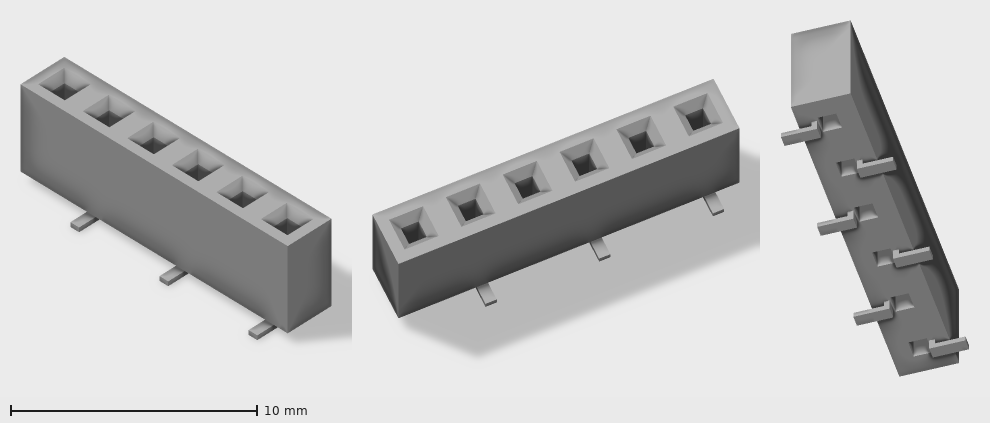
import cadquery as cq


pin_count = 6
housing_length = 15.24
housing_height = 4.5
socket_mouth = 1.52
socket_bore = 0.8
funnel_depth = 0.4
pin_width = 0.5
pin_thickness = 0.25
standoff = 0.5
foot_reach = 2.0
leg_inner_offset = 0.45

pitch = housing_length / pin_count
housing_width = pitch
housing_top = standoff + housing_height
socket_x = [(i - (pin_count - 1) / 2) * pitch for i in range(pin_count)]


def make_socket(x):
    """Cavity of one socket: a tapered square funnel above a straight through bore."""
    funnel = (
        cq.Workplane("XY", origin=(x, 0, housing_top))
        .rect(socket_mouth, socket_mouth)
        .workplane(offset=-funnel_depth)
        .rect(socket_bore, socket_bore)
        .loft(ruled=True)
    )
    bore = (
        cq.Workplane("XY", origin=(x, 0, standoff))
        .rect(socket_bore, socket_bore)
        .extrude(housing_height - funnel_depth)
    )
    return funnel.union(bore)


def make_housing():
    """Rectangular block with one socket per pin."""
    block = (
        cq.Workplane("XY", origin=(0, 0, standoff))
        .rect(housing_length, housing_width)
        .extrude(housing_height)
    )
    for x in socket_x:
        block = block.cut(make_socket(x))
    return block


def make_pin(x, side):
    """L-shaped pin whose foot points to +Y (side = 1) or -Y (side = -1)."""
    inner_y = side * leg_inner_offset
    outer_y = side * (leg_inner_offset + pin_thickness)
    tip_y = side * foot_reach
    return (
        cq.Workplane("YZ", origin=(x, 0, 0))
        .moveTo(inner_y, 0)
        .lineTo(tip_y, 0)
        .lineTo(tip_y, pin_thickness)
        .lineTo(outer_y, pin_thickness)
        .lineTo(outer_y, standoff)
        .lineTo(inner_y, standoff)
        .close()
        .extrude(pin_width / 2, both=True)
    )


housing = make_housing()

pins = []
for index, x in enumerate(socket_x):
    foot_side = 1 if index % 2 == 0 else -1
    pins.append(make_pin(x, foot_side).val())

result = cq.Compound.makeCompound([housing.val(), *pins])